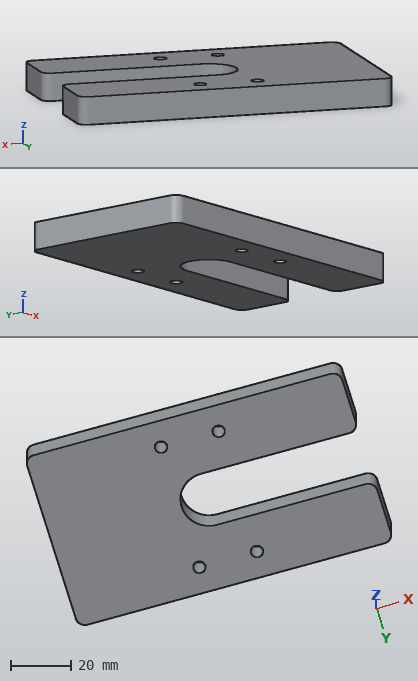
import cadquery as cq

length = 109.4
width = 63.5
thickness = 9.53
corner_radius = 3.175

slot_width = 19.05

hole_diameter = 4.13
hole_spacing_x = 20.0
hole_spacing_y = 45.0


def plate():
    return cq.Workplane("XY").box(length, width, thickness, centered=(True, True, False))


def slot_cutter():
    slot_radius = slot_width / 2
    return (
        cq.Workplane("XY")
        .moveTo(length / 2, slot_radius)
        .lineTo(0, slot_radius)
        .threePointArc((-slot_radius, 0), (0, -slot_radius))
        .lineTo(length / 2, -slot_radius)
        .close()
        .extrude(thickness)
    )


def hole_cutters():
    return (
        cq.Workplane("XY")
        .rarray(hole_spacing_x, hole_spacing_y, 2, 2)
        .circle(hole_diameter / 2)
        .extrude(thickness)
    )


slotted_plate = plate().cut(slot_cutter())

rounded_plate = slotted_plate.edges("|Z and (<X or >X)").fillet(corner_radius)

result = rounded_plate.cut(hole_cutters())